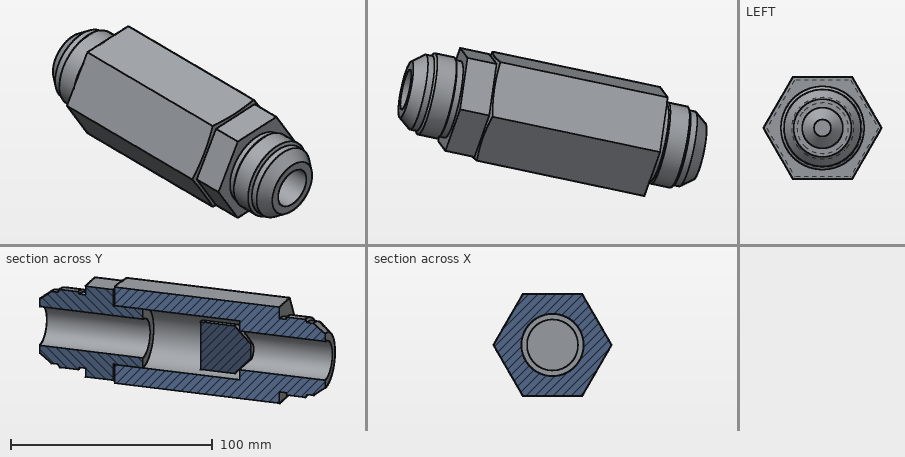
import cadquery as cq
import math

LENGTH = 150.9
PORT_LENGTH = 24.1
HOUSING_END_X = 111.3
GAP = 0.5

HOUSING_FLATS = 50.8
NUT_FLATS = 48.0
CHAMFER_ANGLE = 15.0

NOSE_FACE_DIAMETER = 28.7
NOSE_DIAMETER = 38.2
THREAD_DIAMETER = 41.3
NECK_DIAMETER = 39.0
CONE_LENGTH = 6.2
NOSE_LENGTH = 9.5
THREAD_START = 10.5
THREAD_END = 20.4
NECK_START = 21.0

BORE_DIAMETER = 20.2
CHAMBER_DIAMETER = 30.8
CHAMBER_START_X = 45.3
SPIGOT_LENGTH = 15.1

POPPET_TIP_DIAMETER = 8.5
POPPET_DIAMETER = 25.3
POPPET_CONE_ANGLE = 45.0
POPPET_BODY_LENGTH = 18.1

NUT_START_X = HOUSING_END_X + GAP
NUT_END_X = LENGTH - PORT_LENGTH


def cylinder(diameter, start_x, end_x):
    """Solid cylinder on the X axis."""
    return cq.Workplane("YZ", origin=(start_x, 0, 0)).circle(diameter / 2).extrude(end_x - start_x)


def hexagon(flats, start_x, end_x):
    """Hexagonal prism on the X axis, with corners pointing along Y."""
    corner_diameter = flats / math.cos(math.radians(30))
    return cq.Workplane("YZ", origin=(start_x, 0, 0)).polygon(6, corner_diameter).extrude(end_x - start_x)


def revolve_profile(points):
    """Solid of revolution about X from (x, radius) points; the axis closes the profile."""
    first_x = points[0][0]
    last_x = points[-1][0]
    outline = [(first_x, 0), *points, (last_x, 0)]
    return cq.Workplane("XY").polyline(outline).close().revolve(360, (0, 0, 0), (1, 0, 0))


def threaded_port():
    """Threaded end with its nose face at X = 0 and its neck toward +X."""
    return revolve_profile([
        (0, NOSE_FACE_DIAMETER / 2),
        (CONE_LENGTH, NOSE_DIAMETER / 2),
        (NOSE_LENGTH, NOSE_DIAMETER / 2),
        (THREAD_START, THREAD_DIAMETER / 2),
        (THREAD_END, THREAD_DIAMETER / 2),
        (NECK_START, NECK_DIAMETER / 2),
        (PORT_LENGTH, NECK_DIAMETER / 2),
    ])


def chamfered_hexagon():
    """Housing hexagon with its corners turned down to the flats at the right end."""
    flat_radius = HOUSING_FLATS / 2
    blank_radius = HOUSING_FLATS
    cone_start_x = HOUSING_END_X - (blank_radius - flat_radius) * math.tan(math.radians(CHAMFER_ANGLE))
    turned_blank = revolve_profile([
        (PORT_LENGTH, blank_radius),
        (cone_start_x, blank_radius),
        (HOUSING_END_X, flat_radius),
    ])
    return hexagon(HOUSING_FLATS, PORT_LENGTH, HOUSING_END_X).intersect(turned_blank)


def poppet_cone_x(diameter):
    """X at which the poppet cone, seated on the chamber edge, has this diameter."""
    return CHAMBER_START_X + (diameter - BORE_DIAMETER) / 2 / math.tan(math.radians(POPPET_CONE_ANGLE))


def make_housing():
    body = chamfered_hexagon().union(threaded_port())
    body = body.cut(cylinder(BORE_DIAMETER, 0, CHAMBER_START_X))
    return body.cut(cylinder(CHAMBER_DIAMETER, CHAMBER_START_X, HOUSING_END_X))


def make_end_fitting():
    spigot_start_x = HOUSING_END_X - SPIGOT_LENGTH
    port = threaded_port().mirror("YZ").translate((LENGTH, 0, 0))
    body = hexagon(NUT_FLATS, NUT_START_X, NUT_END_X).union(port)
    body = body.union(cylinder(CHAMBER_DIAMETER, spigot_start_x, NUT_START_X))
    return body.cut(cylinder(BORE_DIAMETER, spigot_start_x, LENGTH))


def make_poppet():
    """Cone-nosed poppet resting on the edge between bore and chamber."""
    shoulder_x = poppet_cone_x(POPPET_DIAMETER)
    return revolve_profile([
        (poppet_cone_x(POPPET_TIP_DIAMETER), POPPET_TIP_DIAMETER / 2),
        (shoulder_x, POPPET_DIAMETER / 2),
        (shoulder_x + POPPET_BODY_LENGTH, POPPET_DIAMETER / 2),
    ])


housing = make_housing()
end_fitting = make_end_fitting()
poppet = make_poppet()

result = cq.Compound.makeCompound([housing.val(), end_fitting.val(), poppet.val()])